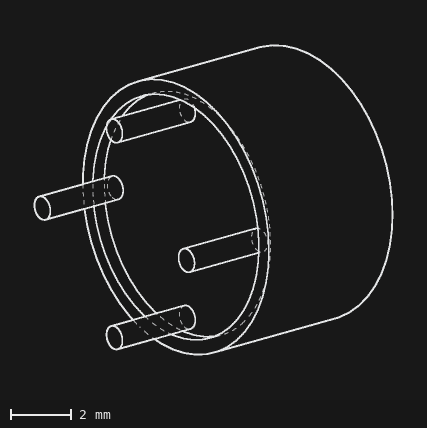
import cadquery as cq

can_diameter = 9.3
can_length = 5.6
back_edge_radius = 0.3

rim_width = 0.5
recess_depth = 0.5
recess_diameter = can_diameter - 2 * rim_width

pin_count = 4
pin_diameter = 0.8
pin_circle_radius = 3.6
pin_reach = 2.7
pin_length = recess_depth + pin_reach


def make_can():
    """Round can with its rim at Y = 0 and its rounded back at +Y."""
    can = cq.Workplane("XZ").circle(can_diameter / 2).extrude(-can_length)
    can = can.faces(">Y").edges().fillet(back_edge_radius)
    recess = cq.Workplane("XZ").circle(recess_diameter / 2).extrude(-recess_depth)
    return can.cut(recess)


def make_pins():
    """Pins evenly spaced on a circle, running from the recess floor toward -Y."""
    return (
        cq.Workplane("XZ", origin=(0, recess_depth, 0))
        .polarArray(pin_circle_radius, 0, 360, pin_count)
        .circle(pin_diameter / 2)
        .extrude(pin_length)
    )


result = make_can().union(make_pins())